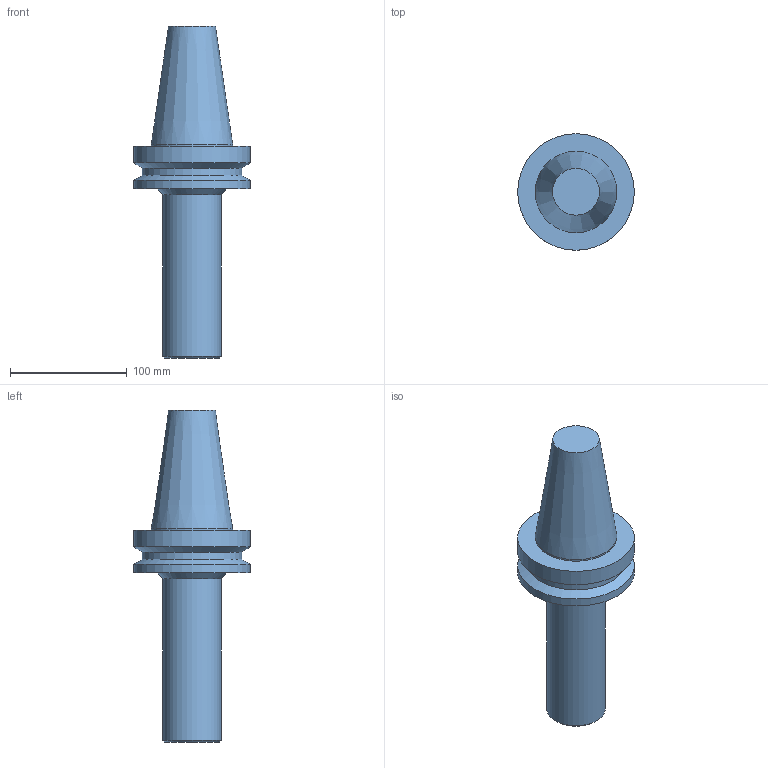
import cadquery as cq
import math


gauge_diameter = 69.85
taper_length = 101.8
taper_ratio = 7 / 24
taper_tip_diameter = gauge_diameter - taper_ratio * taper_length

flange_diameter = 100.0
flange_top_z = -1.5
flange_bottom_z = -38.0
groove_diameter = 85.0
groove_center_z = -23.2
groove_mouth_width = 15.0
groove_wall_angle = 30.0

bar_diameter = 50.0
bar_end_z = -183.0
bar_chamfer = 1.5
collar_size = 5.0


def turned(profile_points):
    """Revolve a closed profile of (radius, z) points about the Z axis."""
    return (
        cq.Workplane("XZ")
        .polyline(profile_points)
        .close()
        .revolve(360, (0, 0, 0), (0, 1, 0))
    )


def make_taper():
    gauge_radius = gauge_diameter / 2
    return turned([
        (0, taper_length),
        (taper_tip_diameter / 2, taper_length),
        (gauge_radius, 0),
        (gauge_radius, flange_top_z),
        (0, flange_top_z),
    ])


def make_flange():
    outer_radius = flange_diameter / 2
    floor_radius = groove_diameter / 2
    wall_height = (outer_radius - floor_radius) * math.tan(math.radians(groove_wall_angle))
    mouth_half = groove_mouth_width / 2
    floor_half = mouth_half - wall_height
    return turned([
        (0, flange_top_z),
        (outer_radius, flange_top_z),
        (outer_radius, groove_center_z + mouth_half),
        (floor_radius, groove_center_z + floor_half),
        (floor_radius, groove_center_z - floor_half),
        (outer_radius, groove_center_z - mouth_half),
        (outer_radius, flange_bottom_z),
        (0, flange_bottom_z),
    ])


def make_bar():
    bar_radius = bar_diameter / 2
    return turned([
        (0, flange_bottom_z),
        (bar_radius + collar_size, flange_bottom_z),
        (bar_radius, flange_bottom_z - collar_size),
        (bar_radius, bar_end_z + bar_chamfer),
        (bar_radius - bar_chamfer, bar_end_z),
        (0, bar_end_z),
    ])


result = make_taper().union(make_flange()).union(make_bar())